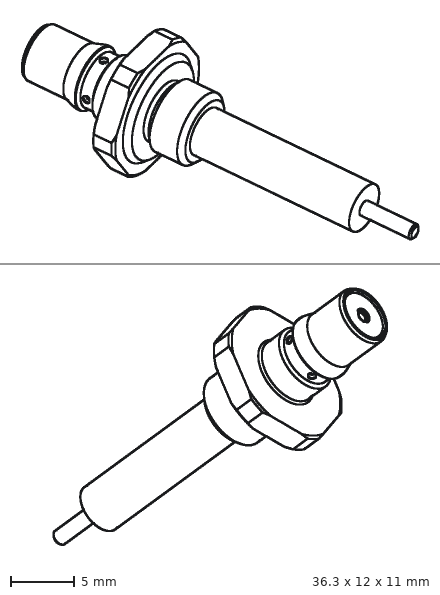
import cadquery as cq
import math

TOTAL_LENGTH = 36.3

PLUG_RADIUS = 2.47
PLUG_CHAMFER_LENGTH = 0.3
PLUG_CHAMFER_DEPTH = 0.15
BULGE_START = 4.1
BULGE_TOP = 5.2
BULGE_BREAK = 5.45
BULGE_SHOULDER = 5.5
BULGE_RADIUS = 2.8
BULGE_BREAK_DEPTH = 0.05
BULGE_CROWN = 0.05
GROOVE_START = 5.75
GROOVE_END = 6.9
GROOVE_RADIUS = 2.45
COLLAR_START = 7.1
COLLAR_END = 9.15
COLLAR_RADIUS = 2.75
FLARE_RADIUS = 2.95

HEX_START = 9.35
HEX_END = 11.45
HEX_ACROSS_FLATS = 11.0
HEX_CORNER_RADIUS = 6.0
HEX_CHAMFER_DEPTH = 0.25
HEX_FRONT_CHAMFER = 0.1
HEX_BACK_CHAMFER = 0.2

WASHER_END = 11.98
WASHER_RADIUS = 4.72
WASHER_CHAMFER = 0.47
NECK_RADIUS = 2.65
NUT_START = 12.45
NUT_END = 16.05
NUT_RADIUS = 3.15
NUT_CHAMFER = 0.47

CABLE_END = 31.4
CABLE_RADIUS = 2.07
WIRE_RADIUS = 0.65
WIRE_CHAMFER = 0.15

RECESS_MOUTH_RADIUS = 2.15
RECESS_FLOOR_RADIUS = 2.05
RECESS_DEPTH = 0.18
CLEARANCE_RADIUS = 0.6
CLEARANCE_DEPTH = 0.1
BORE_MOUTH_RADIUS = 0.47
BORE_RADIUS = 0.35
BORE_DEPTH = 1.45
DRILL_POINT_ANGLE = 118.0

DIMPLE_COUNT = 4
DIMPLE_X = 6.28
DIMPLE_RADIUS = 0.33
DIMPLE_DEPTH = 0.1
DIMPLE_FLOOR_RADIUS = 0.15
DIMPLE_CONE_DEPTH = 0.18


def point_length(radius):
    """Length of the conical point left by a drill of this radius."""
    return radius / math.tan(math.radians(DRILL_POINT_ANGLE / 2))


def revolve_about_x(profile):
    """Close an (X, radius) profile and spin it about the X axis."""
    return profile.close().revolve(360, (0, 0, 0), (1, 0, 0))


def turned_body():
    """Everything that is round, from the plug tip to the end of the wire."""
    bulge_mid = (
        (BULGE_START + BULGE_TOP) / 2,
        (PLUG_RADIUS + BULGE_RADIUS) / 2 + BULGE_CROWN,
    )
    profile = (
        cq.Workplane("XY")
        .moveTo(0, 0)
        .lineTo(0, PLUG_RADIUS - PLUG_CHAMFER_DEPTH)
        .lineTo(PLUG_CHAMFER_LENGTH, PLUG_RADIUS)
        .lineTo(BULGE_START, PLUG_RADIUS)
        .threePointArc(bulge_mid, (BULGE_TOP, BULGE_RADIUS))
        .lineTo(BULGE_BREAK, BULGE_RADIUS)
        .lineTo(BULGE_SHOULDER, BULGE_RADIUS - BULGE_BREAK_DEPTH)
        .lineTo(GROOVE_START, GROOVE_RADIUS)
        .lineTo(GROOVE_END, GROOVE_RADIUS)
        .lineTo(COLLAR_START, COLLAR_RADIUS)
        .lineTo(COLLAR_END, COLLAR_RADIUS)
        .lineTo(HEX_START, FLARE_RADIUS)
        .lineTo(HEX_END, FLARE_RADIUS)
        .lineTo(HEX_END, WASHER_RADIUS)
        .lineTo(WASHER_END, WASHER_RADIUS - WASHER_CHAMFER)
        .lineTo(WASHER_END, NECK_RADIUS)
        .lineTo(NUT_START, NECK_RADIUS)
        .lineTo(NUT_START + NUT_CHAMFER, NUT_RADIUS)
        .lineTo(NUT_END - NUT_CHAMFER, NUT_RADIUS)
        .lineTo(NUT_END, NUT_RADIUS - NUT_CHAMFER)
        .lineTo(NUT_END, CABLE_RADIUS)
        .lineTo(CABLE_END, CABLE_RADIUS)
        .lineTo(CABLE_END, WIRE_RADIUS)
        .lineTo(TOTAL_LENGTH - WIRE_CHAMFER, WIRE_RADIUS)
        .lineTo(TOTAL_LENGTH, WIRE_RADIUS - WIRE_CHAMFER)
        .lineTo(TOTAL_LENGTH, 0)
    )
    return revolve_about_x(profile)


def hex_flange():
    """Hexagon whose corners are turned down to a chamfered cylinder."""
    across_corners = HEX_ACROSS_FLATS / math.cos(math.pi / 6)
    hexagon = (
        cq.Workplane("YZ", origin=(HEX_START, 0, 0))
        .polygon(6, across_corners)
        .extrude(HEX_END - HEX_START)
    )
    envelope = revolve_about_x(
        cq.Workplane("XY")
        .moveTo(HEX_START, 0)
        .lineTo(HEX_START, HEX_CORNER_RADIUS - HEX_CHAMFER_DEPTH)
        .lineTo(HEX_START + HEX_FRONT_CHAMFER, HEX_CORNER_RADIUS)
        .lineTo(HEX_END - HEX_BACK_CHAMFER, HEX_CORNER_RADIUS)
        .lineTo(HEX_END, HEX_CORNER_RADIUS - HEX_CHAMFER_DEPTH)
        .lineTo(HEX_END, 0)
    )
    return hexagon.intersect(envelope)


def front_socket():
    """Tapered face recess, clearance ring and countersunk contact bore."""
    contact_face = RECESS_DEPTH + CLEARANCE_DEPTH
    countersink_end = contact_face + BORE_MOUTH_RADIUS - BORE_RADIUS
    profile = (
        cq.Workplane("XY")
        .moveTo(0, 0)
        .lineTo(0, RECESS_MOUTH_RADIUS)
        .lineTo(RECESS_DEPTH, RECESS_FLOOR_RADIUS)
        .lineTo(RECESS_DEPTH, CLEARANCE_RADIUS)
        .lineTo(contact_face, CLEARANCE_RADIUS)
        .lineTo(contact_face, BORE_MOUTH_RADIUS)
        .lineTo(countersink_end, BORE_RADIUS)
        .lineTo(BORE_DEPTH, BORE_RADIUS)
        .lineTo(BORE_DEPTH + point_length(BORE_RADIUS), 0)
    )
    return revolve_about_x(profile)


def dimple():
    """Dimple on the +Z side of the groove, tapering to a small flat floor."""
    cone_top = GROOVE_RADIUS - DIMPLE_DEPTH
    floor = cone_top - DIMPLE_CONE_DEPTH
    return (
        cq.Workplane("XZ")
        .moveTo(0, floor)
        .lineTo(DIMPLE_FLOOR_RADIUS, floor)
        .lineTo(DIMPLE_RADIUS, cone_top)
        .lineTo(DIMPLE_RADIUS, BULGE_RADIUS)
        .lineTo(0, BULGE_RADIUS)
        .close()
        .revolve(360, (0, 0, 0), (0, 1, 0))
        .translate((DIMPLE_X, 0, 0))
    )


result = turned_body().union(hex_flange()).cut(front_socket())
for index in range(DIMPLE_COUNT):
    angle = index * 360 / DIMPLE_COUNT
    result = result.cut(dimple().rotate((0, 0, 0), (1, 0, 0), angle))